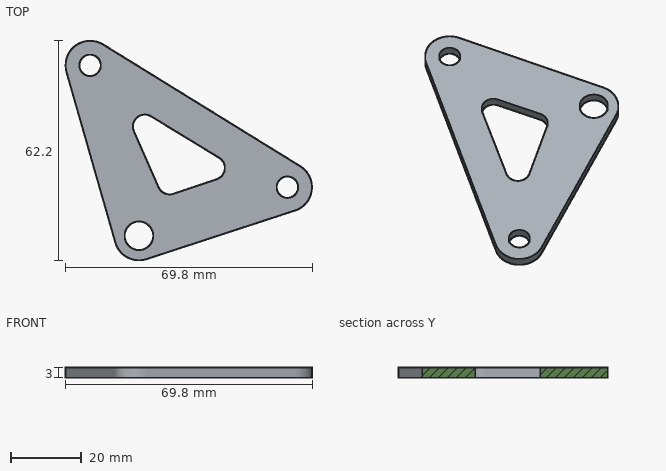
import cadquery as cq

thickness = 3.0
corner_radius = 7.0

large_hole = (0, 0)
upper_hole = (-13.8, 48.15)
side_hole = (41.95, 13.7)
large_hole_diameter = 8.0
small_hole_diameter = 6.0

window_corners = [(1.7, 30.9), (20.9, 19.15), (8.65, 15.05)]
window_radius = 3.35


def rounded_triangle(corner_centres, radius):
    """Triangular prism whose corners are arcs about the given centres."""
    return (
        cq.Workplane("XY")
        .polyline(corner_centres)
        .close()
        .offset2D(radius, "arc")
        .extrude(thickness)
    )


def drill(plate, centres, diameter):
    """Cut round through holes at the given centres."""
    cutters = cq.Workplane("XY").pushPoints(centres).circle(diameter / 2).extrude(thickness)
    return plate.cut(cutters)


plate = rounded_triangle([large_hole, side_hole, upper_hole], corner_radius)
plate = plate.cut(rounded_triangle(window_corners, window_radius))
plate = drill(plate, [large_hole], large_hole_diameter)
result = drill(plate, [upper_hole, side_hole], small_hole_diameter)